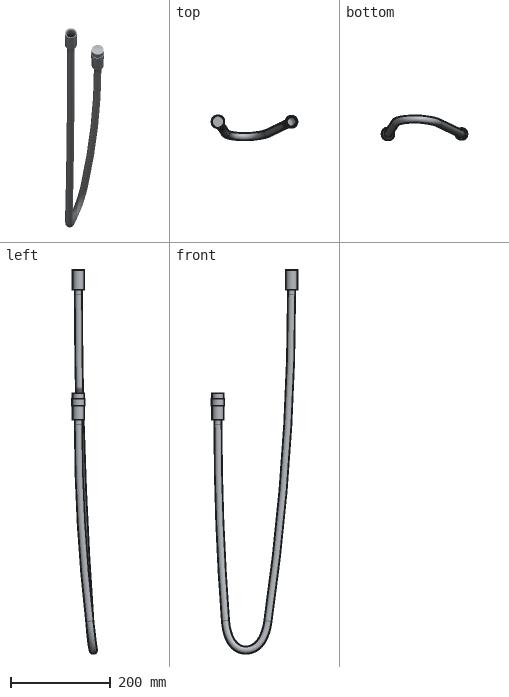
import cadquery as cq
import math


overall_width = 172.24
overall_depth = 50.46
overall_height = 768.47

hose_diameter = 15.0
hose_radius = hose_diameter / 2
lead_length = 9.2

plug_diameter = 24.0
collar_diameter = 26.0
plug_body_length = 27.8
collar_length = 13.9
cap_length = 11.6

nut_diameter = 24.0
nut_bore_diameter = 18.5
nut_length = 39.8
nut_floor = 5.0
nut_chamfer = 0.5
nut_mouth_chamfer = 2.0
nut_bore_depth = nut_length - nut_floor
nut_top_z = 300.0

nut_x = overall_width - collar_diameter / 2 - nut_diameter / 2
nut_base_z = nut_top_z - nut_length

plug_joint = cq.Vector(15.0, -22.6, -402.0)
nut_joint = cq.Vector(100.0, -22.8, -403.0)
bend_bottom = cq.Vector(
    55.0,
    collar_diameter / 2 + hose_radius - overall_depth,
    nut_top_z - overall_height + hose_radius,
)


def leg_arc(start, joint):
    """Arc that leaves `start` straight down and ends at `joint`; returns it and its end direction."""
    outward = cq.Vector(joint.x - start.x, joint.y - start.y, 0)
    offset = outward.Length
    drop = start.z - joint.z
    radius = (offset**2 + drop**2) / (2 * offset)
    turn = math.asin(drop / radius)
    outward = outward.normalized()
    down = cq.Vector(0, 0, -1)

    def along(angle):
        return start + outward * (radius * (1 - math.cos(angle))) + down * (radius * math.sin(angle))

    arc = cq.Edge.makeThreePointArc(start, along(turn / 2), joint)
    direction = outward * math.sin(turn) + down * math.cos(turn)
    return arc, direction


def make_hose():
    plug_end = cq.Vector(0, 0, 0)
    plug_lead_end = cq.Vector(0, 0, -lead_length)
    nut_end = cq.Vector(nut_x, 0, nut_base_z)
    nut_lead_end = cq.Vector(nut_x, 0, nut_base_z - lead_length)
    plug_leg, plug_direction = leg_arc(plug_lead_end, plug_joint)
    nut_leg, nut_direction = leg_arc(nut_lead_end, nut_joint)
    level = cq.Vector(1, 0, 0)
    bend = cq.Edge.makeSpline(
        [plug_joint, bend_bottom, nut_joint],
        tangents=[plug_direction, level, nut_direction * -1],
    )
    path = cq.Wire.assembleEdges(
        [
            cq.Edge.makeLine(plug_end, plug_lead_end),
            plug_leg,
            bend,
            nut_leg,
            cq.Edge.makeLine(nut_lead_end, nut_end),
        ]
    )
    return cq.Workplane("XY").circle(hose_radius).sweep(cq.Workplane(path))


def make_plug_body():
    return (
        cq.Workplane("XY")
        .circle(plug_diameter / 2)
        .extrude(plug_body_length)
        .faces(">Z")
        .workplane()
        .circle(collar_diameter / 2)
        .extrude(collar_length)
    )


def make_plug_cap():
    return (
        cq.Workplane("XY", origin=(0, 0, plug_body_length + collar_length))
        .circle(plug_diameter / 2)
        .extrude(cap_length)
    )


def make_nut():
    return (
        cq.Workplane("XY", origin=(nut_x, 0, nut_base_z))
        .circle(nut_diameter / 2)
        .extrude(nut_length)
        .faces("<Z")
        .chamfer(nut_chamfer)
        .faces(">Z")
        .workplane()
        .circle(nut_bore_diameter / 2)
        .cutBlind(-nut_bore_depth)
        .faces(">Z")
        .edges(cq.selectors.RadiusNthSelector(0))
        .chamfer(nut_mouth_chamfer)
    )


hose = make_hose()
plug_body = make_plug_body()
plug_cap = make_plug_cap()
nut = make_nut()

result = cq.Compound.makeCompound([hose.val(), plug_body.val(), plug_cap.val(), nut.val()])